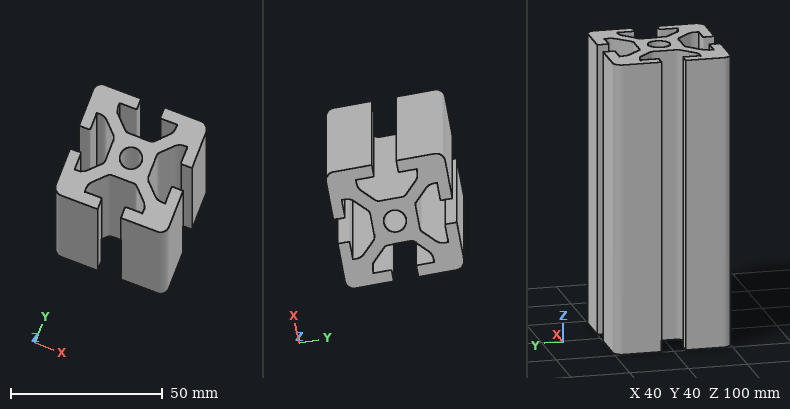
import cadquery as cq

side = 40.0
length = 100.0
corner_radius = 3.0
bore_diameter = 7.4

mouth_width = 8.2
lip_thickness = 4.0
chamber_width = 20.4
floor_distance = 7.6
web_offset = 3.0
floor_fillet = 2.0
shoulder_fillet = 4.0
lip_fillet = 0.4

half_side = side / 2
half_mouth = mouth_width / 2
half_chamber = chamber_width / 2
lip_inside = half_side - lip_thickness
floor_half_width = floor_distance - web_offset
shoulder_height = half_chamber + web_offset


def edges_at(body, points):
    """Select the lengthwise edges through points in the section."""
    edges = cq.Workplane("XY")
    margin = 0.05
    for x, y in points:
        box = cq.selectors.BoxSelector(
            (x - margin, y - margin, -margin), (x + margin, y + margin, length + margin)
        )
        edges = edges.add(body.edges("|Z").edges(box).vals())
    return edges.vals()


def mirrored(x, y):
    return [(x, y), (-x, y)]


def make_slot():
    """Cutter for the +Y slot, with rounded lips and web corners."""
    right_half = [
        (half_mouth, half_side),
        (half_mouth, lip_inside),
        (half_chamber, lip_inside),
        (half_chamber, shoulder_height),
        (floor_half_width, floor_distance),
    ]
    left_half = [(-x, y) for x, y in reversed(right_half)]
    slot = cq.Workplane("XY").polyline(right_half + left_half).close().extrude(length)

    shoulder_corners = mirrored(half_chamber, shoulder_height)
    slot = slot.newObject(edges_at(slot, shoulder_corners)).fillet(shoulder_fillet)
    floor_corners = mirrored(floor_half_width, floor_distance)
    slot = slot.newObject(edges_at(slot, floor_corners)).fillet(floor_fillet)
    lip_corners = mirrored(half_mouth, lip_inside)
    return slot.newObject(edges_at(slot, lip_corners)).fillet(lip_fillet)


result = cq.Workplane("XY").rect(side, side).extrude(length).edges("|Z").fillet(corner_radius)
result = result.faces(">Z").workplane().hole(bore_diameter)

slot_cutter = make_slot()
for angle in (0, 90, 180, 270):
    result = result.cut(slot_cutter.rotate((0, 0, 0), (0, 0, 1), angle))